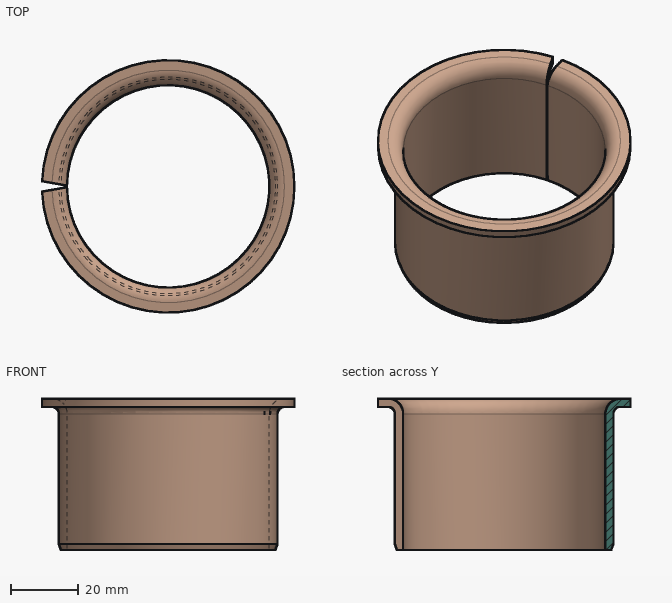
import cadquery as cq
import math

bore_radius = 30.0
wall = 2.5
flange_radius = 37.5
height = 45.0
outer_bend_radius = 2.0

chamfer_height = 1.8
chamfer_angle = math.radians(20)

slit_width_at_bore = 0.4
slit_half_angle = math.radians(10)

body_radius = bore_radius + wall
inner_bend_radius = outer_bend_radius + wall
bend_center_radius = body_radius + outer_bend_radius
bend_center_height = height - inner_bend_radius
flange_underside = height - wall
chamfer_width = chamfer_height * math.tan(chamfer_angle)


def bend_midpoint(bend_radius):
    """Point halfway along a quarter bend from the wall to the flange."""
    offset = bend_radius * math.sqrt(0.5)
    return (bend_center_radius - offset, bend_center_height + offset)


def flanged_sleeve():
    """Revolve the wall section, with its rounded bend into the flange, about Z."""
    section = (
        cq.Workplane("XZ")
        .moveTo(bore_radius, 0)
        .lineTo(body_radius - chamfer_width, 0)
        .lineTo(body_radius, chamfer_height)
        .lineTo(body_radius, bend_center_height)
        .threePointArc(bend_midpoint(outer_bend_radius), (bend_center_radius, flange_underside))
        .lineTo(flange_radius, flange_underside)
        .lineTo(flange_radius, height)
        .lineTo(bend_center_radius, height)
        .threePointArc(bend_midpoint(inner_bend_radius), (bore_radius, bend_center_height))
        .close()
    )
    sleeve = section.revolve(360, (0, 0, 0), (0, 1, 0))
    return sleeve.rotate((0, 0, 0), (0, 0, 1), 180)


def slit_cutter():
    """Full-height tapered prism, narrow at the bore and wide outside the flange."""
    half_width = slit_width_at_bore / 2
    apex_radius = bore_radius - half_width / math.tan(slit_half_angle)
    end_radius = flange_radius + wall
    end_half_width = (end_radius - apex_radius) * math.tan(slit_half_angle)
    return (
        cq.Workplane("XY")
        .moveTo(-apex_radius, 0)
        .lineTo(-end_radius, end_half_width)
        .lineTo(-end_radius, -end_half_width)
        .close()
        .extrude(height)
    )


result = flanged_sleeve().cut(slit_cutter())